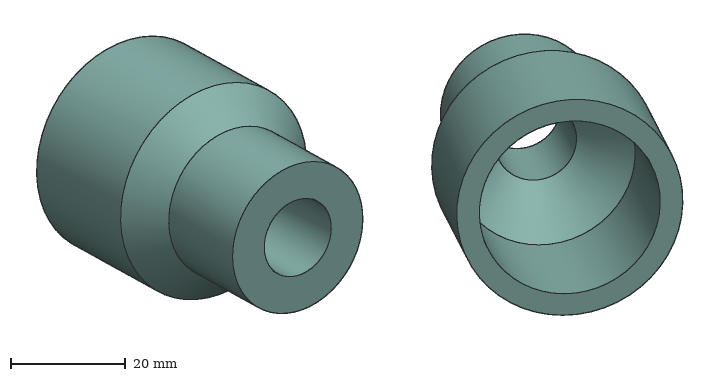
import cadquery as cq

total_length = 50.0
socket_diameter = 40.0
socket_length = 25.0
spigot_diameter = 28.0
socket_bore_diameter = 32.0
spigot_bore_diameter = 14.4

shoulder_end = socket_length + (socket_diameter - spigot_diameter) / 2
funnel_end = socket_length + (socket_bore_diameter - spigot_bore_diameter) / 2

half_section = [
    (0, socket_bore_diameter / 2),
    (0, socket_diameter / 2),
    (socket_length, socket_diameter / 2),
    (shoulder_end, spigot_diameter / 2),
    (total_length, spigot_diameter / 2),
    (total_length, spigot_bore_diameter / 2),
    (funnel_end, spigot_bore_diameter / 2),
    (socket_length, socket_bore_diameter / 2),
]

result = (
    cq.Workplane("XZ")
    .polyline(half_section)
    .close()
    .revolve(360, (0, 0, 0), (1, 0, 0))
)